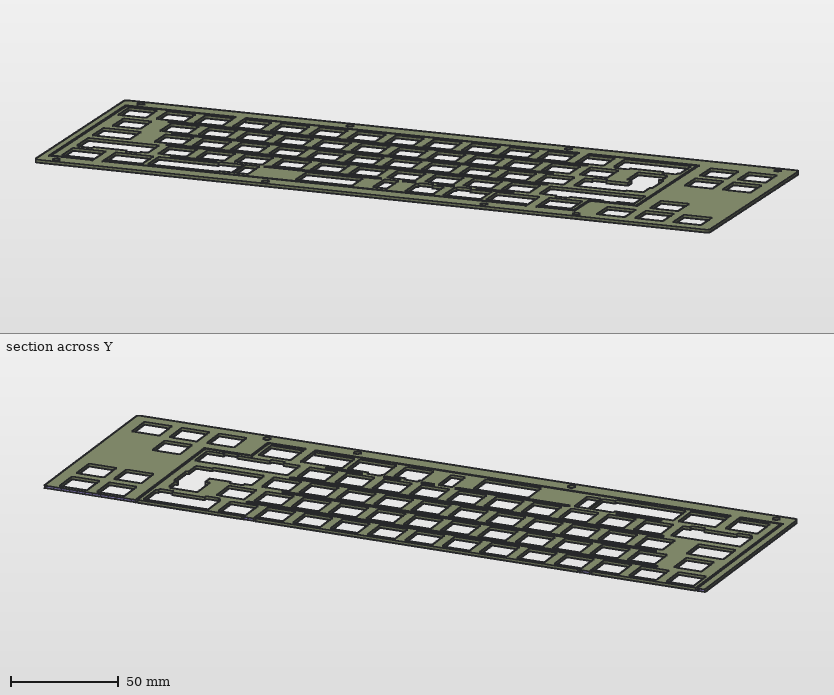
import cadquery as cq

LENGTH = 337
WIDTH = 113.3
THICKNESS = 1.5
CORNER_RADIUS = 1.7

MAIN_COLUMNS = 15
MAIN_ROWS = 5
GRID_COLUMNS = 17.25
GRID_LENGTH = 328.5
GRID_LEFT = -GRID_LENGTH / 2
PITCH = GRID_LENGTH / GRID_COLUMNS
KEY_GAP = 5.0
KEY_RADIUS = 0.5
STAB_RADIUS = 0.5
KEY_HOLE = PITCH - KEY_GAP

NUMBER_ROW = 2
TAB_ROW = 1
CAPS_ROW = 0
SHIFT_ROW = -1
SPACE_ROW = -2
UP_ARROW_ROW = -1.25
ARROW_ROW = -2.25

STAB_WIDTH = 7.0
STAB_WIRE_REACH = 8.8
STAB_BACK_REACH = 5.7
STAB_OFFSET = 11.8

FLEX_WIDTH = 2.0
FLEX_RADIUS = 0.98
SPACE_FLEX_Y = -28.5
SPACE_FLEX_SPANS = [(-111.5, -88.5), (-64.7, -6.5), (4.5, 10.8), (21.5, 30.0), (41.0, 59.5)]
CHANNEL_WIDTH = 0.95
CHANNEL_STEP_COLUMN = 13.75
CHANNEL_STEP_Y = -29.0

MOUNT_DIAMETER = 3.5
MOUNT_Y = 53.0
MOUNT_OUTER_X = 159.0
MOUNT_INNER_X = 54.5
MOUNT_ARROW_X = 100.8

TALL_ENTER_COLUMN = 14.375
TALL_ENTER_ROW = 0.5
WIDE_ENTER_COLUMN = 13.875

SINGLE_KEYS = [
    (NUMBER_ROW, 0.5, 13),
    (TAB_ROW, 0.75, 1),
    (TAB_ROW, 2, 12),
    (TAB_ROW, 14.25, 1),
    (CAPS_ROW, 2.25, 11),
    (SHIFT_ROW, 2.75, 10),
    (SPACE_ROW, 9.625, 1),
    (NUMBER_ROW, 15.75, 2),
    (TAB_ROW, 15.75, 2),
    (UP_ARROW_ROW, 15.75, 1),
    (ARROW_ROW, 14.75, 3),
]

LONG_KEYS = [
    (NUMBER_ROW, 13.5, 14.5),
    (CAPS_ROW, 0.625, 0.875),
    (CAPS_ROW, 13.25, WIDE_ENTER_COLUMN),
    (SHIFT_ROW, 0.625, 1.75),
    (SHIFT_ROW, 12.75, 14.5),
    (SPACE_ROW, 0.625, 0.75),
    (SPACE_ROW, 1.75, 2),
    (SPACE_ROW, 2.875, 4),
    (SPACE_ROW, 6.75, 7.5),
    (SPACE_ROW, 10.625, 10.875),
    (SPACE_ROW, 11.75, 12.125),
    (SPACE_ROW, 13.125, 13.25),
]

WIDE_KEY_STABS = [
    (NUMBER_ROW, 14, 180),
    (CAPS_ROW, WIDE_ENTER_COLUMN, 0),
    (TALL_ENTER_ROW, TALL_ENTER_COLUMN, 90),
    (SHIFT_ROW, 1.125, 180),
    (SHIFT_ROW, 13.625, 180),
]

SPACE_STABS = [(6.75, 34.7), (6.875, 50.0), (7.5, 57.0)]


def column_x(column):
    return GRID_LEFT + column * PITCH


def row_y(row):
    return row * PITCH


def cutter(x_min, x_max, y_min, y_max, radius=0):
    """Block through the full thickness of the plate, optionally with rounded upright edges."""
    block = cq.Workplane("XY").box(x_max - x_min, y_max - y_min, THICKNESS, centered=False)
    if radius > 0:
        block = block.edges("|Z").fillet(radius)
    return block.translate((x_min, y_min, 0))


def key_cutter(row, first_column, last_column):
    return cutter(
        column_x(first_column) - KEY_HOLE / 2,
        column_x(last_column) + KEY_HOLE / 2,
        row_y(row) - KEY_HOLE / 2,
        row_y(row) + KEY_HOLE / 2,
        KEY_RADIUS,
    )


def key_cutters():
    blocks = [key_cutter(*key) for key in LONG_KEYS]
    for row, first_column, count in SINGLE_KEYS:
        for i in range(count):
            blocks.append(key_cutter(row, first_column + i, first_column + i))
    blocks.append(key_cutter(TALL_ENTER_ROW, TALL_ENTER_COLUMN, TALL_ENTER_COLUMN))
    blocks.append(
        cutter(
            column_x(WIDE_ENTER_COLUMN) + KEY_HOLE / 2 - KEY_RADIUS,
            column_x(TALL_ENTER_COLUMN),
            row_y(CAPS_ROW),
            row_y(TALL_ENTER_ROW),
        )
    )
    return blocks


def stabilizer_pair(row, column, offset, turn):
    """Two stabilizer openings with the wire on the +Y side, turned about the key centre."""
    centre = (column_x(column), row_y(row), 0)
    blocks = []
    for x in (-offset, offset):
        block = cutter(
            x - STAB_WIDTH / 2,
            x + STAB_WIDTH / 2,
            -STAB_BACK_REACH,
            STAB_WIRE_REACH,
            STAB_RADIUS,
        )
        blocks.append(block.rotate((0, 0, 0), (0, 0, 1), turn).translate(centre))
    return blocks


def stabilizer_cutters():
    blocks = []
    for row, column, turn in WIDE_KEY_STABS:
        blocks += stabilizer_pair(row, column, STAB_OFFSET, turn)
    for column, offset in SPACE_STABS:
        blocks += stabilizer_pair(SPACE_ROW, column, offset, 0)
    return blocks


def flex_cutters():
    """Narrow cuts between the rows."""
    cuts = [
        (row_y(1.5), column_x(1.5), column_x(12.5)),
        (row_y(0.5), column_x(2), column_x(12)),
        (row_y(-0.5), column_x(2.25), column_x(12.25)),
    ]
    cuts += [(SPACE_FLEX_Y, x0, x1) for x0, x1 in SPACE_FLEX_SPANS]
    half = FLEX_WIDTH / 2
    return [cutter(x0, x1, y - half, y + half, FLEX_RADIUS) for y, x0, x1 in cuts]


def channel_cutters(points):
    """Channel along a path of straight runs parallel to X or Y, with square corners."""
    half = CHANNEL_WIDTH / 2
    blocks = []
    for (x0, y0), (x1, y1) in zip(points, points[1:]):
        blocks.append(
            cutter(min(x0, x1) - half, max(x0, x1) + half, min(y0, y1) - half, max(y0, y1) + half)
        )
    return blocks


def isolation_cutters():
    """Channel around the main block; its ends turn into key holes, leaving four bridges."""
    top = row_y(MAIN_ROWS / 2)
    bottom = -top
    left = column_x(0)
    right = column_x(MAIN_COLUMNS)
    step_x = column_x(CHANNEL_STEP_COLUMN)
    top_end = row_y(NUMBER_ROW)
    bottom_end = row_y(SPACE_ROW)
    inset = KEY_HOLE / 2 - CHANNEL_WIDTH / 2

    top_left_start = column_x(2.5) + inset
    top_middle_start = column_x(3.5) - inset
    top_middle_end = column_x(11.5) + inset
    top_right_start = column_x(12.5) - inset
    bottom_left_end = column_x(0.75) + inset
    bottom_middle_start = column_x(1.75) - inset
    bottom_middle_end = column_x(12.125) + inset
    bottom_right_end = column_x(13.125) - inset

    left_path = [
        (top_left_start, top_end),
        (top_left_start, top),
        (left, top),
        (left, bottom),
        (bottom_left_end, bottom),
        (bottom_left_end, bottom_end),
    ]
    top_path = [
        (top_middle_start, top_end),
        (top_middle_start, top),
        (top_middle_end, top),
        (top_middle_end, top_end),
    ]
    bottom_path = [
        (bottom_middle_start, bottom_end),
        (bottom_middle_start, bottom),
        (bottom_middle_end, bottom),
        (bottom_middle_end, bottom_end),
    ]
    right_path = [
        (top_right_start, top_end),
        (top_right_start, top),
        (right, top),
        (right, CHANNEL_STEP_Y),
        (step_x, CHANNEL_STEP_Y),
        (step_x, bottom),
        (bottom_right_end, bottom),
        (bottom_right_end, bottom_end),
    ]
    blocks = []
    for path in (left_path, top_path, bottom_path, right_path):
        blocks += channel_cutters(path)
    return blocks


def mount_points():
    points = [(MOUNT_OUTER_X, MOUNT_Y), (MOUNT_ARROW_X, -MOUNT_Y)]
    for x in (-MOUNT_OUTER_X, -MOUNT_INNER_X, MOUNT_INNER_X):
        points += [(x, MOUNT_Y), (x, -MOUNT_Y)]
    return points


plate = (
    cq.Workplane("XY")
    .box(LENGTH, WIDTH, THICKNESS, centered=(True, True, False))
    .edges("|Z")
    .fillet(CORNER_RADIUS)
    .faces(">Z")
    .workplane()
    .pushPoints(mount_points())
    .hole(MOUNT_DIAMETER)
)
cutters = key_cutters() + stabilizer_cutters() + flex_cutters() + isolation_cutters()
result = cq.Workplane(plate.val().cut(*[block.val() for block in cutters]))